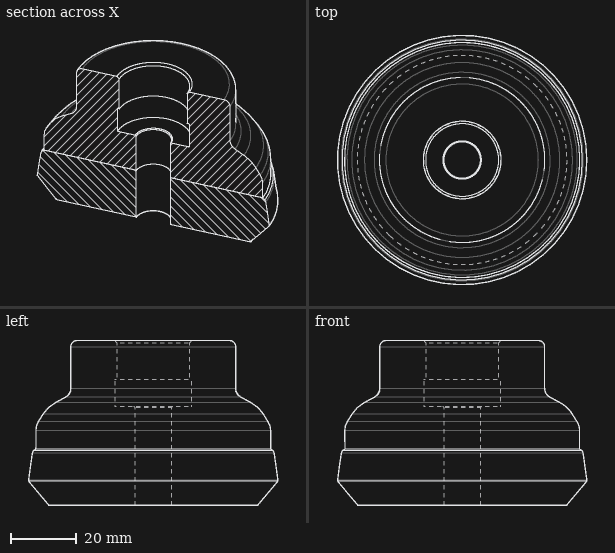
import cadquery as cq
import math

base_radius = 37.8
total_height = 50.0

hub_radius = 25.0
hub_top_round = 2.0
shoulder_radius = 35.6
shoulder_top_height = 24.2
dome_corner_height = 30.0
steep_cone_angle = math.radians(32)
flat_cone_angle = math.radians(28)
shoulder_round = 5.0
dome_round = 10.2
neck_round = 3.0

socket_radius = 11.0
socket_chamfer = 0.75
relief_radius = 11.6
relief_start_depth = 11.8
socket_depth = 20.0
hole_radius = 5.5
hole_chamfer = 0.3

seat_height = 17.1
rim_height = 16.7
rim_radius = 36.35
taper_top_height = 15.95
taper_top_radius = 36.65
taper_bottom_height = 7.8
cone_top_height = 7.4
foot_height = 0.2
foot_radius = 31.7


def revolve_outline(points):
    """Turn a closed (radius, height) outline about the Z axis."""
    return cq.Workplane("XZ").polyline(points).close().revolve(360, (0, 0, 0), (0, 1, 0))


def circle_edge(height):
    """Selector for the circular edge lying at one height."""
    reach = base_radius
    tolerance = 0.01
    return cq.selectors.BoxSelector(
        (-reach, -reach, height - tolerance), (reach, reach, height + tolerance)
    )


def make_cap():
    steep_cone_rise = dome_corner_height - shoulder_top_height
    dome_corner_radius = shoulder_radius - steep_cone_rise * math.tan(steep_cone_angle)
    flat_cone_run = dome_corner_radius - hub_radius
    neck_height = dome_corner_height + flat_cone_run * math.tan(flat_cone_angle)
    cap = revolve_outline([
        (0, seat_height),
        (shoulder_radius, seat_height),
        (shoulder_radius, shoulder_top_height),
        (dome_corner_radius, dome_corner_height),
        (hub_radius, neck_height),
        (hub_radius, total_height),
        (0, total_height),
    ])

    rounds = [
        (total_height, hub_top_round),
        (neck_height, neck_round),
        (dome_corner_height, dome_round),
        (shoulder_top_height, shoulder_round),
    ]
    for height, radius in rounds:
        cap = cap.edges(circle_edge(height)).fillet(radius)

    return cap.cut(make_cap_bore())


def make_cap_bore():
    """Chamfered socket, wider relief and chamfered through hole, as the volume to remove."""
    floor_height = total_height - socket_depth
    relief_top_height = total_height - relief_start_depth
    return revolve_outline([
        (0, seat_height),
        (hole_radius, seat_height),
        (hole_radius, floor_height - hole_chamfer),
        (hole_radius + hole_chamfer, floor_height),
        (relief_radius, floor_height),
        (relief_radius, relief_top_height),
        (socket_radius, relief_top_height),
        (socket_radius, total_height - socket_chamfer),
        (socket_radius + socket_chamfer, total_height),
        (0, total_height),
    ])


def make_base():
    return revolve_outline([
        (hole_radius, 0),
        (foot_radius, 0),
        (foot_radius, foot_height),
        (base_radius, cone_top_height),
        (base_radius, taper_bottom_height),
        (taper_top_radius, taper_top_height),
        (rim_radius, rim_height),
        (shoulder_radius, seat_height),
        (hole_radius, seat_height),
    ])


cap = make_cap()
base = make_base()

result = cq.Compound.makeCompound([cap.val(), base.val()])